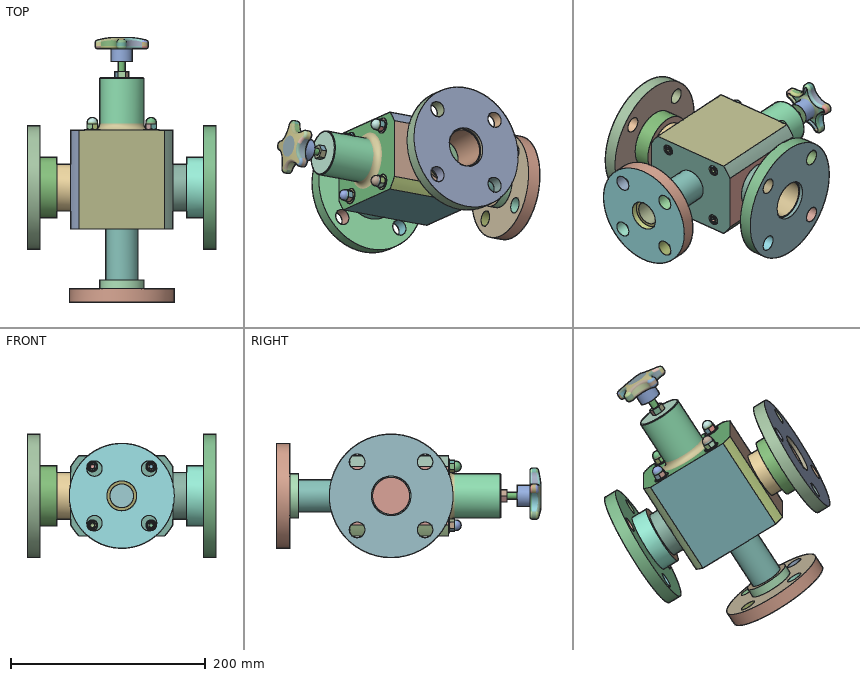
import cadquery as cq
import math


side_port_length = 193.68
inlet_face_y = -117.87
knob_top_y = inlet_face_y + 271.87

block_x = 104.78
block_z = 82.55
block_length = 101.6
block_back_y = 58.9
block_front_y = block_back_y - block_length
block_corner_dia = 120.65

flange_hole_dia = 15.88
flange_holes = 4
first_hole_angle = 45

side_flange_dia = 127.0
side_flange_thickness = 13.2
side_bolt_circle = 98.55
side_hub_dia = 62.23
side_hub_length = 17.0
side_pipe_dia = 48.26
side_mouth_dia = 40.64
side_bore_dia = 38.1

inlet_flange_dia = 107.95
inlet_flange_thickness = 14.0
inlet_bolt_circle = 79.25
inlet_hub_dia = 45.72
inlet_hub_length = 9.0
inlet_pipe_dia = 33.4
inlet_mouth_dia = 30.61
inlet_bore_dia = 24.31
side_mouth_depth = 3.9
inlet_mouth_depth = 6.35

screw_offset = 30.16
screw_recess_dia = 11.0
screw_head_dia = 9.53
screw_head_height = 6.35
screw_head_top_dia = 7.44
screw_socket_flats = 4.76
screw_socket_depth = 3.0
socket_point_dia = 4.45
socket_point_slope = 30
socket_point_depth = socket_point_dia / 2 * math.tan(math.radians(socket_point_slope))

washer_dia = 15.75
washer_thickness = 0.8
nut_flats = 11.11
nut_hex_top = 6.3
nut_hex_chamfer = 0.8
nut_dome_dia = 11.0
nut_dome_base = 7.6

bonnet_dia = 45.72
bonnet_top_y = 112.7
bonnet_chamfer = 0.8
bonnet_root_radius = 6.35
stem_dia = 7.44
stem_hex_flats = 12.8
stem_hex_height = 6.35
knob_hub_dia = 22.1
knob_hub_length = 13.1
knob_thickness = 11.7

knob_lobes = 5
knob_lobe_radius = 5.0
knob_lobe_circle_radius = 23.6
knob_waist_radius = 17.0
knob_top_flat_radius = 11.0
knob_rim_height = 8.5
knob_edge_radius = 2.7
knob_rim_width = 2.8
knob_recess_depth = 4.0
knob_root_radius = 3.0


def corner_diameter(flats):
    """Diameter through the corners of a hexagon."""
    return flats / math.cos(math.radians(30))


def hex_prism(flats, y_start, height, corner_on_x):
    """Hexagonal prism rising along +Y from y_start, centred on the Y axis."""
    corner_dia = corner_diameter(flats)
    prism = cq.Workplane("XY").polygon(6, corner_dia).extrude(height)
    if not corner_on_x:
        prism = prism.rotate((0, 0, 0), (0, 0, 1), 90)
    return prism.rotate((0, 0, 0), (1, 0, 0), -90).translate((0, y_start, 0))


def rod(diameter, y_start, y_end):
    """Cylinder on the Y axis between two stations."""
    return cq.Workplane("XZ", origin=(0, y_start, 0)).circle(diameter / 2).extrude(y_start - y_end)


def make_block():
    block = cq.Workplane("XY").box(block_x, block_length, block_z)
    block = block.translate((0, block_front_y + block_length / 2, 0))
    return block.intersect(rod(block_corner_dia, block_front_y, block_back_y))


def make_port(face, root, flange_dia, thickness, bolt_circle, hub_dia, hub_length, pipe_dia):
    """Flange, hub and pipe on +Z, from the block side at z=root to the sealing face at z=face."""
    flange = cq.Workplane("XY", origin=(0, 0, face)).circle(flange_dia / 2).extrude(-thickness)
    bolt_holes = (
        cq.Workplane("XY", origin=(0, 0, face))
        .polarArray(bolt_circle / 2, first_hole_angle, 360, flange_holes)
        .circle(flange_hole_dia / 2)
        .extrude(-thickness)
    )
    hub = cq.Workplane("XY", origin=(0, 0, face)).circle(hub_dia / 2).extrude(-thickness - hub_length)
    pipe = cq.Workplane("XY", origin=(0, 0, root)).circle(pipe_dia / 2).extrude(face - root)
    return flange.cut(bolt_holes).union(hub).union(pipe)


def make_port_bore(face, root, bore_dia, mouth_dia, mouth_depth):
    """Pipe bore down to the block, with a wider mouth at the sealing face."""
    bore = cq.Workplane("XY", origin=(0, 0, root)).circle(bore_dia / 2).extrude(face - root)
    mouth = cq.Workplane("XY", origin=(0, 0, face)).circle(mouth_dia / 2).extrude(-mouth_depth)
    return bore.union(mouth)


def make_side_port():
    """Side port pointing along +X."""
    face = side_port_length / 2
    root = block_x / 2
    port = make_port(face, root, side_flange_dia, side_flange_thickness, side_bolt_circle,
                     side_hub_dia, side_hub_length, side_pipe_dia)
    port = port.cut(make_port_bore(face, root, side_bore_dia, side_mouth_dia, side_mouth_depth))
    return port.rotate((0, 0, 0), (0, 1, 0), 90)


def make_inlet_port():
    """Inlet port pointing along -Y."""
    face = -inlet_face_y
    root = -block_front_y
    port = make_port(face, root, inlet_flange_dia, inlet_flange_thickness, inlet_bolt_circle,
                     inlet_hub_dia, inlet_hub_length, inlet_pipe_dia)
    port = port.cut(make_port_bore(face, root, inlet_bore_dia, inlet_mouth_dia, inlet_mouth_depth))
    return port.rotate((0, 0, 0), (1, 0, 0), 90)


def make_screw_recess():
    """Annular gap around a socket-head screw and its hexagon socket, cut into the front face."""
    head_bottom_y = block_front_y + screw_head_height
    head_chamfer = (screw_head_dia - screw_head_top_dia) / 2
    recess = rod(screw_recess_dia, block_front_y, head_bottom_y)
    head = rod(screw_head_dia, block_front_y, head_bottom_y).faces("<Y").chamfer(head_chamfer)
    socket = hex_prism(screw_socket_flats, block_front_y, screw_socket_depth, corner_on_x=False)
    socket_floor_y = block_front_y + screw_socket_depth
    point = (
        cq.Workplane("XY")
        .polyline([
            (0, socket_floor_y),
            (socket_point_dia / 2, socket_floor_y),
            (0, socket_floor_y + socket_point_depth),
        ])
        .close()
        .revolve(360, (0, 0, 0), (0, 1, 0))
    )
    return recess.cut(head).union(socket).union(point)


def make_cap_nut():
    """Washer and domed hexagon nut standing on the back face."""
    seat_y = block_back_y + washer_thickness
    washer = rod(washer_dia, block_back_y, seat_y)
    hex_top_y = block_back_y + nut_hex_top
    hexagon = hex_prism(nut_flats, seat_y, hex_top_y - seat_y, corner_on_x=False)
    hex_envelope = rod(corner_diameter(nut_flats), seat_y, hex_top_y).faces("<Y").chamfer(nut_hex_chamfer)
    dome_centre_y = block_back_y + nut_dome_base
    collar = rod(nut_dome_dia, hex_top_y, dome_centre_y)
    dome = cq.Workplane("XY").sphere(nut_dome_dia / 2).translate((0, dome_centre_y, 0))
    return washer.union(hexagon.intersect(hex_envelope)).union(collar).union(dome)


def make_bonnet():
    """Bonnet tube with a concave root blend onto the back face."""
    radius = bonnet_dia / 2
    blend = bonnet_root_radius
    blend_mid = blend * (1 - math.sin(math.radians(45)))
    return (
        cq.Workplane("XY")
        .moveTo(0, block_back_y)
        .lineTo(radius + blend, block_back_y)
        .threePointArc((radius + blend_mid, block_back_y + blend_mid), (radius, block_back_y + blend))
        .lineTo(radius, bonnet_top_y - bonnet_chamfer)
        .lineTo(radius - bonnet_chamfer, bonnet_top_y)
        .lineTo(0, bonnet_top_y)
        .close()
        .revolve(360, (0, 0, 0), (0, 1, 0))
    )


def polar(radius, degrees):
    return (radius * math.cos(math.radians(degrees)), radius * math.sin(math.radians(degrees)))


def make_knob_star(inset, height):
    """Five-lobed prism on z=0, one lobe along +Y, its outline moved inward by the inset."""
    pitch = 360 / knob_lobes
    lobe_radius = knob_lobe_radius - inset
    waist_radius = knob_waist_radius - inset
    chord = knob_lobe_circle_radius * math.cos(math.radians(pitch / 2))
    valley_radius = (
        waist_radius**2 + knob_lobe_circle_radius**2 - 2 * waist_radius * chord - lobe_radius**2
    ) / (2 * (chord + lobe_radius - waist_radius))
    valley_centre_radius = waist_radius + valley_radius
    valley_fraction = lobe_radius / (lobe_radius + valley_radius)

    def tangent_point(lobe_angle, valley_angle):
        lobe = polar(knob_lobe_circle_radius, lobe_angle)
        valley = polar(valley_centre_radius, valley_angle)
        return tuple(a + (b - a) * valley_fraction for a, b in zip(lobe, valley))

    first_angle = 90
    outline = cq.Workplane("XY").moveTo(*tangent_point(first_angle, first_angle - pitch / 2))
    for lobe in range(knob_lobes):
        angle = first_angle + lobe * pitch
        valley_angle = angle + pitch / 2
        tip = polar(knob_lobe_circle_radius + lobe_radius, angle)
        outline = outline.threePointArc(tip, tangent_point(angle, valley_angle))
        waist = polar(waist_radius, valley_angle)
        outline = outline.threePointArc(waist, tangent_point(angle + pitch, valley_angle))
    return outline.close().extrude(height)


def make_knob_hub():
    """Hub along Z, from its lower end to the recess floor, with a concave root blend."""
    radius = knob_hub_dia / 2
    blend = knob_root_radius
    blend_mid = blend * (1 - math.sin(math.radians(45)))
    floor = knob_recess_depth
    return (
        cq.Workplane("XZ")
        .moveTo(0, -knob_hub_length)
        .lineTo(radius, -knob_hub_length)
        .lineTo(radius, floor - blend)
        .threePointArc((radius + blend_mid, floor - blend_mid), (radius + blend, floor))
        .lineTo(0, floor)
        .close()
        .revolve(360, (0, 0, 0), (0, 1, 0))
    )


def make_knob():
    """Knob along Z with a domed top, the rim of its recessed underside at z=0."""
    star = make_knob_star(0, knob_thickness)

    tip_radius = knob_lobe_circle_radius + knob_lobe_radius
    drop = knob_thickness - knob_rim_height
    centre_depth = (tip_radius**2 - knob_top_flat_radius**2 - drop**2) / (2 * drop)
    dome_radius = math.hypot(knob_top_flat_radius, centre_depth)
    dome = cq.Workplane("XY").sphere(dome_radius).translate((0, 0, knob_thickness - centre_depth))

    grip = star.intersect(dome).edges("not |Z").edges("not >Z").fillet(knob_edge_radius)
    hub = make_knob_hub()
    recess = make_knob_star(knob_rim_width, knob_recess_depth).cut(hub)
    return grip.cut(recess).union(hub)


def make_stem_and_knob():
    knob_rim_y = knob_top_y - knob_thickness
    knob = make_knob().rotate((0, 0, 0), (1, 0, 0), -90).rotate((0, 0, 0), (0, 1, 0), 180)
    stem = rod(stem_dia, bonnet_top_y, knob_rim_y - knob_hub_length)
    stem_hex = hex_prism(stem_hex_flats, bonnet_top_y, stem_hex_height, corner_on_x=True)
    return stem_hex.union(stem).union(knob.translate((0, knob_rim_y, 0)))


side_port = make_side_port()
result = make_block()
result = result.union(side_port).union(side_port.mirror("YZ"))
result = result.union(make_inlet_port()).union(make_bonnet()).union(make_stem_and_knob())

nut = make_cap_nut()
screw_recess = make_screw_recess()
for x in (-screw_offset, screw_offset):
    for z in (-screw_offset, screw_offset):
        result = result.union(nut.translate((x, 0, z))).cut(screw_recess.translate((x, 0, z)))